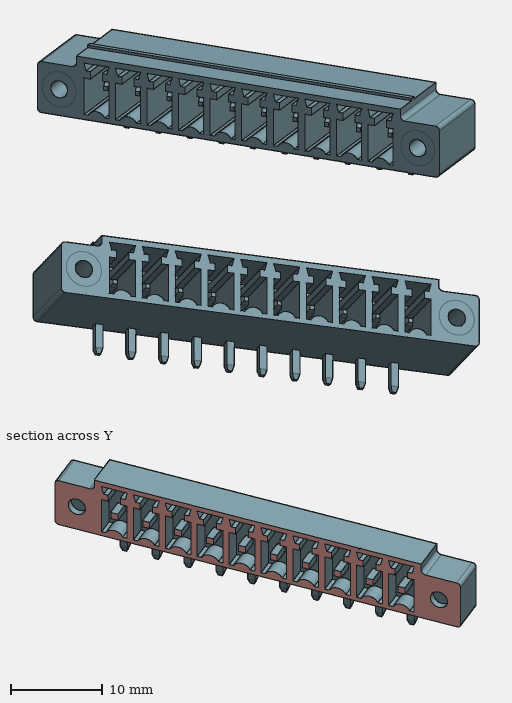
import cadquery as cq


length = 48.5
depth = 9.2
block_width = 39.1
block_height = 7.25
flange_height = 5.95
corner_radius = 0.5
inner_corner_radius = 0.55
front_y = -depth / 2
back_y = depth / 2

rib_width = 0.6
rib_height = 0.3
rib_setback = 2.9

insert_spacing = 43.25
insert_diameter = 4.05
insert_bore = 2.0
insert_depth = 5.8

pin_count = 10
pin_row_length = 34.3
pitch = pin_row_length / (pin_count - 1)
pin_positions = [i * pitch - pin_row_length / 2 for i in range(pin_count)]
socket_depth = 7.05
socket_half_width = 1.5
socket_floor = 0.6
socket_shoulder = 4.85
neck_half_width = 0.75
dovetail_floor = 5.7
dovetail_roof = 6.6
dovetail_half_width = 1.25
saddle_half_width = 1.0
saddle_top = 1.15

pin_size = 0.85
pin_tip_size = 0.5
pin_taper = 0.65
axis_height = 3.05
leg_setback = 1.15
leg_length = 3.4
leg_y = back_y - leg_setback
contact_setback = 2.42


def front_plane(y, x=0, z=0):
    """Plane facing -Y at the given depth, with local X = X and local Y = Z."""
    return cq.Workplane("XZ", origin=(x, y, z))


def make_housing():
    flanges = (
        front_plane(back_y)
        .center(0, flange_height / 2)
        .rect(length, flange_height)
        .extrude(depth)
        .edges("|Y")
        .fillet(corner_radius)
    )
    block = front_plane(back_y).center(0, block_height / 2).rect(block_width, block_height).extrude(depth)
    housing = flanges.union(block)
    for corner_x in (-block_width / 2, block_width / 2):
        inner_corner = cq.selectors.NearestToPointSelector((corner_x, 0, flange_height))
        housing = housing.edges(inner_corner).fillet(inner_corner_radius)
    return housing


def make_rib():
    rib_y = front_y + rib_setback + rib_width / 2
    return cq.Workplane("XY", origin=(0, rib_y, block_height)).rect(block_width, rib_width).extrude(rib_height)


def make_socket(x):
    """Keyed cavity: a rectangle with a saddle in its floor, a narrow neck and a dovetail above."""
    return (
        front_plane(front_y, x)
        .moveTo(-socket_half_width, socket_floor)
        .lineTo(-saddle_half_width, socket_floor)
        .threePointArc((0, saddle_top), (saddle_half_width, socket_floor))
        .lineTo(socket_half_width, socket_floor)
        .lineTo(socket_half_width, socket_shoulder)
        .lineTo(neck_half_width, socket_shoulder)
        .lineTo(neck_half_width, dovetail_floor)
        .lineTo(dovetail_half_width, dovetail_floor)
        .lineTo(socket_half_width, dovetail_roof)
        .lineTo(-socket_half_width, dovetail_roof)
        .lineTo(-dovetail_half_width, dovetail_floor)
        .lineTo(-neck_half_width, dovetail_floor)
        .lineTo(-neck_half_width, socket_shoulder)
        .lineTo(-socket_half_width, socket_shoulder)
        .close()
        .extrude(-socket_depth)
    )


def make_square_bar(workplane, bar_length):
    """Square bar along the workplane normal, ending in a tapered tip."""
    shank_length = bar_length - pin_taper
    shank = workplane.rect(pin_size, pin_size).extrude(shank_length)
    tip = (
        workplane.workplane(offset=shank_length)
        .rect(pin_size, pin_size)
        .workplane(offset=pin_taper)
        .rect(pin_tip_size, pin_tip_size)
        .loft(ruled=True)
    )
    return shank.union(tip)


def make_pin(x):
    elbow_y = leg_y + pin_size / 2
    elbow_z = axis_height + pin_size / 2
    contact_length = elbow_y - (front_y + contact_setback)
    contact = make_square_bar(front_plane(elbow_y, x, axis_height), contact_length)
    leg_plane = cq.Workplane(cq.Plane((x, leg_y, elbow_z), (1, 0, 0), (0, 0, -1)))
    return contact.union(make_square_bar(leg_plane, elbow_z + leg_length))


def make_insert(x):
    """Threaded sleeve with a blind bore, flush with the front face."""
    return (
        front_plane(front_y, x, axis_height)
        .circle(insert_diameter / 2)
        .circle(insert_bore / 2)
        .extrude(-insert_depth)
    )


def make_insert_seat(x):
    return front_plane(front_y, x, axis_height).circle(insert_diameter / 2).extrude(-insert_depth)


result = make_housing().union(make_rib())
for pin_x in pin_positions:
    result = result.cut(make_socket(pin_x)).union(make_pin(pin_x))

insert_positions = (-insert_spacing / 2, insert_spacing / 2)
for insert_x in insert_positions:
    result = result.cut(make_insert_seat(insert_x))
for insert_x in insert_positions:
    result = result.union(make_insert(insert_x), clean=False)